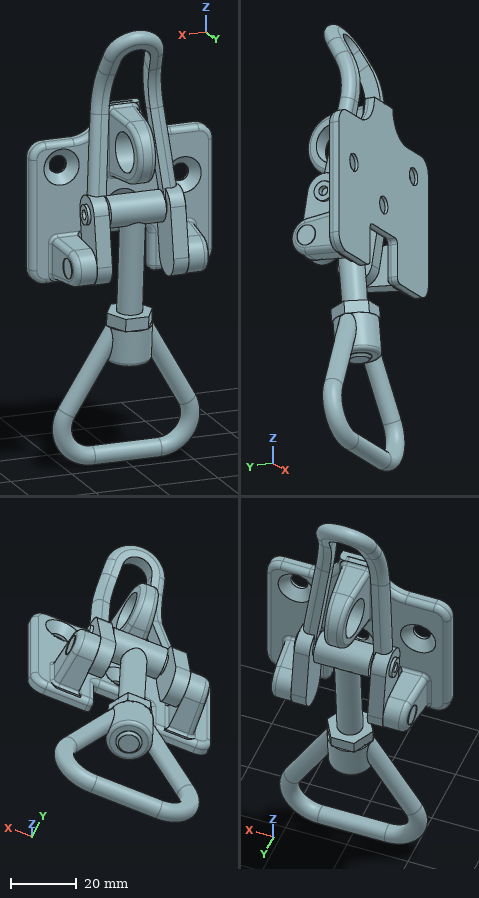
import cadquery as cq
import math


PLATE_WIDTH = 60.0
PLATE_HEIGHT = 45.3
PLATE_THICKNESS = 4.0
PLATE_CORNER_RADIUS = 5.0
PLATE_RIM_RADIUS = 1.9
TAB_WIDTH = 12.5
TAB_TOP = 55.0
TAB_FLARE_RADIUS = 9.6
NOTCH_WIDTH = 18.2
NOTCH_DEPTH = 13.9
NOTCH_CORNER_RADIUS = 1.5
NOTCH_MOUTH_RADIUS = 2.0
PLATE_HOLE_DIAMETER = 5.5
PLATE_HOLE_LAND = 1.0
PLATE_HOLES = [(-20.0, 30.0), (20.0, 37.2), (0.0, 22.2)]

LUG_DRAFT = 5.0
LUG_CENTRE_Y = 15.1
FOOT_RADIUS = 1.0
EAR_Z = 8.3
EAR_RADIUS = 5.8
EAR_OUTER_X = 22.4
EAR_EDGE_RADIUS = 1.9
STAPLE_Z = 43.3
STAPLE_RADIUS = 9.9
STAPLE_HOLE_RADIUS = 6.35
STAPLE_HALF_WIDTH = 3.7
STAPLE_EDGE_RADIUS = 1.5

LEVER_TILT = 9.4
LINK_LENGTH = 15.9
LINK_RADIUS = 6.0
LINK_INNER_X = 10.0
LINK_OUTER_X = 15.0
EAR_PIN_RADIUS = 3.2
HANDLE_RADIUS = 2.5
HANDLE_TAPER = 5.7
HANDLE_BEND = 39.0
BEND_START = 46.5
BEND_RADIUS = 22.6
GRIP_LENGTH = 5.75

ROD_TILT = -4.64
ROD_RADIUS = 4.0
ROD_END_CHAMFER = 0.8
ROD_PROTRUSION = 1.0
TRUNNION_RADIUS = 5.0
TRUNNION_HALF_LENGTH = 9.0
JOURNAL_RADIUS = 3.15
JOURNAL_PROTRUSION = 1.0
CENTRE_HOLE_RADIUS = 1.5
CENTRE_HOLE_DEPTH = 2.0
NUT_ACROSS_FLATS = 13.0
NUT_HEIGHT = 4.1
NUT_TOP = -33.4
BARREL_RADIUS = 7.1
BARREL_LENGTH = 11.9
BARREL_EDGE_RADIUS = 1.2
BAIL_WIRE_RADIUS = 3.0
BAIL_BEND_RADIUS = 10.1
BAIL_BAR_HALF_LENGTH = 10.9
BAIL_BAR_Z = -79.8
BAIL_LEG_ANGLE = 30.0
BAIL_END_CLEARANCE = 1.0

NUT_BOTTOM = NUT_TOP - NUT_HEIGHT
BARREL_BOTTOM = NUT_BOTTOM - BARREL_LENGTH
MID_LINK_X = (LINK_INNER_X + LINK_OUTER_X) / 2


def place_lever(body):
    """Moves a body from the lever frame to its place on the base."""
    tilted = body.rotate((0, 0, 0), (1, 0, 0), LEVER_TILT)
    return tilted.translate((0, LUG_CENTRE_Y, EAR_Z))


def place_rod(body):
    """Moves a body from the rod frame to the far ends of the lever links."""
    link_angle = math.radians(LEVER_TILT)
    trunnion_y = LUG_CENTRE_Y - LINK_LENGTH * math.sin(link_angle)
    trunnion_z = EAR_Z + LINK_LENGTH * math.cos(link_angle)
    return body.rotate((0, 0, 0), (1, 0, 0), ROD_TILT).translate((0, trunnion_y, trunnion_z))


def x_cylinder(radius, x_from, x_to, y=0.0, z=0.0):
    """Cylinder along X, centred on (y, z)."""
    return cq.Workplane("YZ", origin=(x_from, y, z)).circle(radius).extrude(x_to - x_from)


def z_cylinder(radius, z_from, z_to):
    """Cylinder around the Z axis."""
    return cq.Workplane("XY", origin=(0, 0, z_from)).circle(radius).extrude(z_to - z_from)


def make_plate():
    half_width = PLATE_WIDTH / 2
    half_tab = TAB_WIDTH / 2
    half_notch = NOTCH_WIDTH / 2
    right_side = [
        (half_notch, NOTCH_DEPTH),
        (half_notch, 0),
        (half_width, 0),
        (half_width, PLATE_HEIGHT),
        (half_tab, PLATE_HEIGHT),
        (half_tab, TAB_TOP),
    ]
    left_side = [(-x, z) for x, z in reversed(right_side)]
    plate = cq.Workplane("XZ").polyline(right_side + left_side).close().extrude(-PLATE_THICKNESS)

    corner_radii = [
        (half_width, 0, PLATE_CORNER_RADIUS),
        (half_width, PLATE_HEIGHT, PLATE_CORNER_RADIUS),
        (half_tab, PLATE_HEIGHT, TAB_FLARE_RADIUS),
        (half_notch, 0, NOTCH_MOUTH_RADIUS),
        (half_notch, NOTCH_DEPTH, NOTCH_CORNER_RADIUS),
    ]
    middle_y = PLATE_THICKNESS / 2
    for x, z, radius in corner_radii:
        for side in (-1, 1):
            corner = cq.selectors.NearestToPointSelector((side * x, middle_y, z))
            plate = plate.edges("|Y").edges(corner).fillet(radius)
    return plate.faces(">Y").edges("not(>Z)").fillet(PLATE_RIM_RADIUS)


def lug_block(radius, z, x_inner, x_outer, drafted_inside):
    """Round-topped block that widens towards the plate; X limits hold at the lug centre."""
    draft = math.radians(LUG_DRAFT)
    root_y = PLATE_THICKNESS / 2
    rise = LUG_CENTRE_Y - root_y
    tangent_y = LUG_CENTRE_Y + radius * math.sin(draft)
    tangent_half = radius * math.cos(draft)
    root_half = tangent_half + (tangent_y - root_y) * math.tan(draft)
    crown_y = LUG_CENTRE_Y + radius
    side_view = (
        cq.Workplane("YZ", origin=(-PLATE_WIDTH, 0, 0))
        .moveTo(root_y, z - root_half)
        .lineTo(tangent_y, z - tangent_half)
        .threePointArc((crown_y, z), (tangent_y, z + tangent_half))
        .lineTo(root_y, z + root_half)
        .close()
        .extrude(2 * PLATE_WIDTH)
    )
    root_spread = rise * math.tan(draft)
    crown_spread = -radius * math.tan(draft)
    inner_draft = 1 if drafted_inside else 0
    section = [
        (x_inner - inner_draft * root_spread, root_y),
        (x_outer + root_spread, root_y),
        (x_outer + crown_spread, crown_y),
        (x_inner - inner_draft * crown_spread, crown_y),
    ]
    height_limit = 2 * TAB_TOP
    end_view = cq.Workplane("XY", origin=(0, 0, -TAB_TOP)).polyline(section).close().extrude(2 * height_limit)
    return side_view.intersect(end_view)


def with_foot(lug):
    """Adds a fillet round the foot of a lug and carries the foot straight down into the plate."""
    reach = 4 * PLATE_WIDTH
    root_y = PLATE_THICKNESS / 2
    slab = cq.Workplane("XZ", origin=(0, root_y, 0)).rect(reach, reach).extrude(root_y - PLATE_THICKNESS)
    near_lug = cq.selectors.BoxSelector(
        (-PLATE_WIDTH, PLATE_THICKNESS - FOOT_RADIUS / 2, -PLATE_WIDTH),
        (PLATE_WIDTH, PLATE_THICKNESS + FOOT_RADIUS / 2, PLATE_WIDTH),
    )
    footed = slab.union(lug).edges(near_lug).fillet(FOOT_RADIUS).cut(slab)
    footprint = footed.faces("<Y").val()
    root = cq.Solid.extrudeLinear(footprint, cq.Vector(0, root_y - PLATE_THICKNESS, 0))
    return footed.union(cq.Workplane(root))


def make_ear():
    ear = lug_block(EAR_RADIUS, EAR_Z, LINK_OUTER_X, EAR_OUTER_X, drafted_inside=False)
    rounded = ear.faces(">X").edges("not(<Y)").fillet(EAR_EDGE_RADIUS)
    pin_hole = x_cylinder(EAR_PIN_RADIUS, 0, PLATE_WIDTH, LUG_CENTRE_Y, EAR_Z)
    return rounded.cut(pin_hole)


def make_staple():
    staple = lug_block(STAPLE_RADIUS, STAPLE_Z, -STAPLE_HALF_WIDTH, STAPLE_HALF_WIDTH, drafted_inside=True)
    rounded = staple.faces(">X or <X").edges("not(<Y)").fillet(STAPLE_EDGE_RADIUS)
    eye = x_cylinder(STAPLE_HOLE_RADIUS, -PLATE_WIDTH, PLATE_WIDTH, LUG_CENTRE_Y, STAPLE_Z)
    return rounded.cut(eye)


def countersunk_holes():
    """Cutters for the plate holes: a short straight land, then a 90 degree cone to the lug side."""
    land_radius = PLATE_HOLE_DIAMETER / 2
    cone_depth = PLATE_THICKNESS - PLATE_HOLE_LAND
    lands = cq.Workplane("XZ").pushPoints(PLATE_HOLES).circle(land_radius).extrude(-PLATE_THICKNESS)
    cones = (
        cq.Workplane("XZ", origin=(0, PLATE_THICKNESS, 0))
        .pushPoints(PLATE_HOLES)
        .circle(land_radius + cone_depth)
        .extrude(cone_depth, taper=45)
    )
    return lands.union(cones)


def make_base():
    ear = with_foot(make_ear())
    staple = with_foot(make_staple())
    base = make_plate().union(ear).union(ear.mirror("YZ")).union(staple)
    return base.cut(countersunk_holes())


def make_link():
    """Right-hand link with the pin that turns in the ear."""
    link = (
        cq.Workplane("YZ", origin=(LINK_INNER_X, 0, 0))
        .moveTo(LINK_RADIUS, 0)
        .lineTo(LINK_RADIUS, LINK_LENGTH)
        .threePointArc((0, LINK_LENGTH + LINK_RADIUS), (-LINK_RADIUS, LINK_LENGTH))
        .lineTo(-LINK_RADIUS, 0)
        .threePointArc((0, -LINK_RADIUS), (LINK_RADIUS, 0))
        .close()
        .extrude(LINK_OUTER_X - LINK_INNER_X)
    )
    return link.union(x_cylinder(EAR_PIN_RADIUS, LINK_OUTER_X, EAR_OUTER_X))


def make_half_handle():
    """Right half of the bent handle loop: round on the outside, square on the inside."""
    taper = math.radians(HANDLE_TAPER)
    bend = math.radians(HANDLE_BEND)
    leg_direction = cq.Vector(-math.sin(taper), 0, math.cos(taper))
    grip_up = cq.Vector(0, math.sin(bend), math.cos(bend))
    grip_direction = cq.Vector(-math.sin(taper), 0, 0) + grip_up * math.cos(taper)

    leg_foot = cq.Vector(MID_LINK_X, 0, LINK_LENGTH)
    bend_start = leg_foot + leg_direction * ((BEND_START - LINK_LENGTH) / math.cos(taper))
    bend_end = bend_start + (leg_direction + grip_direction) * (BEND_RADIUS * math.tan(bend / 2))
    grip_end = bend_end + grip_direction * GRIP_LENGTH
    arch_radius = grip_end.x / math.cos(taper)
    arch_top = grip_end - cq.Vector(grip_end.x, 0, 0) + grip_up * (arch_radius * (1 - math.sin(taper)))

    path = cq.Wire.assembleEdges([
        cq.Edge.makeTangentArc(arch_top, cq.Vector(1, 0, 0), grip_end),
        cq.Edge.makeLine(grip_end, bend_end),
        cq.Edge.makeTangentArc(bend_end, grip_direction * -1, bend_start),
        cq.Edge.makeLine(bend_start, leg_foot),
    ])
    profile_plane = cq.Plane(origin=arch_top, xDir=grip_up, normal=(1, 0, 0))
    return (
        cq.Workplane(profile_plane)
        .moveTo(-HANDLE_RADIUS, -HANDLE_RADIUS)
        .lineTo(0, -HANDLE_RADIUS)
        .threePointArc((HANDLE_RADIUS, 0), (0, HANDLE_RADIUS))
        .lineTo(-HANDLE_RADIUS, HANDLE_RADIUS)
        .close()
        .sweep(path)
    )


def make_lever():
    half = make_link().union(make_half_handle())
    lever = half.union(half.mirror("YZ"))
    journal_bore = x_cylinder(JOURNAL_RADIUS, -LINK_OUTER_X, LINK_OUTER_X, 0, LINK_LENGTH)
    return place_lever(lever.cut(journal_bore))


def make_rod():
    rod_end = BARREL_BOTTOM - ROD_PROTRUSION
    shank = z_cylinder(ROD_RADIUS, rod_end, 0).faces("<Z").chamfer(ROD_END_CHAMFER)
    trunnion = x_cylinder(TRUNNION_RADIUS, -TRUNNION_HALF_LENGTH, TRUNNION_HALF_LENGTH)
    journal_end = LINK_OUTER_X + JOURNAL_PROTRUSION
    rod = shank.union(trunnion).union(x_cylinder(JOURNAL_RADIUS, -journal_end, journal_end))
    centre_hole = x_cylinder(CENTRE_HOLE_RADIUS, journal_end - CENTRE_HOLE_DEPTH, journal_end)
    return place_rod(rod.cut(centre_hole).cut(centre_hole.mirror("YZ")))


def make_nut():
    across_corners = NUT_ACROSS_FLATS / math.cos(math.pi / 6)
    nut = cq.Workplane("XY", origin=(0, 0, NUT_BOTTOM)).polygon(6, across_corners).extrude(NUT_HEIGHT)
    return place_rod(nut.cut(z_cylinder(ROD_RADIUS, NUT_BOTTOM, NUT_TOP)))


def bail_wire():
    """Triangular wire loop in the rod frame; its two ends stop short of the rod."""
    leg_angle = math.radians(BAIL_LEG_ANGLE)
    bend_z = BAIL_BAR_Z + BAIL_BEND_RADIUS
    bend_mid_angle = (math.pi / 2 - leg_angle) / 2

    def on_bend(angle):
        """Right-hand bend point at an angle above the horizontal through its centre."""
        return (
            BAIL_BAR_HALF_LENGTH + BAIL_BEND_RADIUS * math.cos(angle),
            bend_z + BAIL_BEND_RADIUS * math.sin(angle),
        )

    leg_x, leg_z = on_bend(leg_angle)
    bend_mid = on_bend(-bend_mid_angle)
    apex_z = leg_z + leg_x / math.tan(leg_angle)
    half_path = (
        cq.Workplane("XZ")
        .moveTo(0, BAIL_BAR_Z)
        .lineTo(BAIL_BAR_HALF_LENGTH, BAIL_BAR_Z)
        .threePointArc(bend_mid, (leg_x, leg_z))
        .lineTo(0, apex_z)
    )
    half_wire = cq.Workplane("YZ", origin=(0, 0, BAIL_BAR_Z)).circle(BAIL_WIRE_RADIUS).sweep(half_path)
    core = z_cylinder(ROD_RADIUS + BAIL_END_CLEARANCE, BARREL_BOTTOM, 0)
    above_barrel = cq.Workplane("XY", origin=(0, 0, NUT_BOTTOM)).rect(PLATE_WIDTH, PLATE_WIDTH).extrude(PLATE_WIDTH)
    half_wire = half_wire.cut(core).cut(above_barrel)
    return half_wire.union(half_wire.mirror("YZ"))


def make_barrel():
    """Swivel barrel with a bore for the rod and a socket for each end of the bail."""
    barrel = z_cylinder(BARREL_RADIUS, BARREL_BOTTOM, NUT_BOTTOM).faces("<Z").edges().fillet(BARREL_EDGE_RADIUS)
    bored = barrel.cut(z_cylinder(ROD_RADIUS, BARREL_BOTTOM, NUT_BOTTOM))
    return place_rod(bored.cut(bail_wire()))


base = make_base()
lever = make_lever()
rod = make_rod()
nut = make_nut()
barrel = make_barrel()
bail = place_rod(bail_wire())

result = cq.Compound.makeCompound([
    *base.vals(),
    *lever.vals(),
    *rod.vals(),
    *nut.vals(),
    *barrel.vals(),
    *bail.vals(),
])